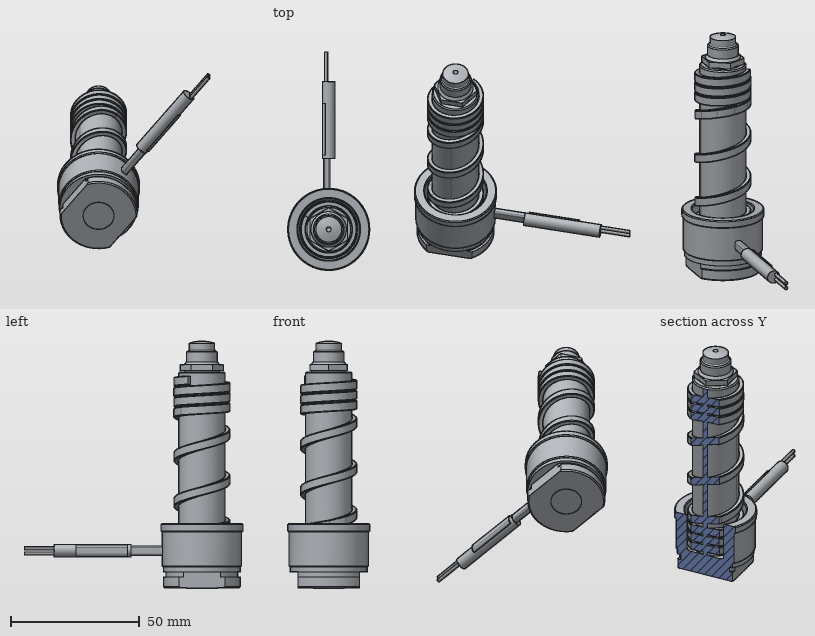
import cadquery as cq
import math


PAD_RADIUS = 6.0
PAD_HEIGHT = 0.2
FOOT_RADIUS = 15.0
FOOT_CHAMFER = 0.5
FOOT_TOP = 4.35
NECK_RADIUS = 14.0
FLANGE_BOTTOM = 6.4
FLATS_WIDTH = 24.0

BODY_BOTTOM = 8.4
BODY_RADIUS = 15.5
BODY_CHAMFER = 0.4
COLLAR_RADIUS = 16.0
COLLAR_BOTTOM = 22.0
COLLAR_CHAMFER = 0.4
CUP_TOP = 25.2
BORE_RADIUS = 12.0
BORE_CHAMFER = 0.4
BORE_FLOOR = 9.3
BORE_FLOOR_CHAMFER = 0.6

STEM_RADIUS = 9.05
STEM_TOP = 84.2
STEM_CHAMFER = 0.5
HEX_NECK_RADIUS = 6.8
HEX_BOTTOM = 84.7
HEX_TOP = 87.0
HEX_ACROSS_FLATS = 14.6
HEX_CORNER_RADIUS = 8.3
CONE_RADIUS = 6.9
NOSE_RADIUS = 6.0
NOSE_BOTTOM = 88.15
NOSE_TOP = 91.85
NOSE_CHAMFER = 0.5
TIP_RADIUS = 5.0
TIP_FILLET = 0.5
TIP_EDGE = 95.35
DOME_TOP = 96.23
DIMPLE_RADIUS = 1.0
DIMPLE_DEPTH = 1.0

SPRING_RADIUS = 10.95
SPRING_INNER_RADIUS = 8.95
STRIP_HEIGHT = 3.5
STRIP_CHAMFER = 0.3
CLOSED_PITCH = 3.93
OPEN_PITCH = 17.8
CLOSED_TURNS = 3.05
TRANSITION_TURNS = 0.31
TRANSITION_STEPS = 3
OPEN_TURNS = 2.2
SPRING_END_ANGLE = 150.0
SPRING_END_HEIGHT = 80.95

CABLE_HEIGHT = 14.65
CABLE_X = -0.7
CABLE_WIDTH = 2.5
CABLE_DEPTH = 3.8
CABLE_FILLET = 0.6
CABLE_START = 14.0
SLEEVE_RADIUS = 2.5
SLEEVE_START = 27.5
SLEEVE_LENGTH = 30.0
LABEL_OFFSET = 1.5
LABEL_LENGTH = 20.0
LABEL_DEPTH = 4.5
LABEL_FILLET = 0.9
LABEL_INNER_X = -1.3
LABEL_OUTER_X = -2.5
LEAD_RADIUS = 0.65
LEAD_SPACING = 2.0
LEAD_HEIGHT = 14.55
LEAD_X = -1.0
LEAD_END = 69.0


def disc(radius, bottom, top):
    return cq.Workplane("XY").workplane(offset=bottom).circle(radius).extrude(top - bottom)


def cone(bottom_radius, top_radius, bottom, top):
    base = cq.Vector(0, 0, bottom)
    return cq.Workplane(cq.Solid.makeCone(bottom_radius, top_radius, top - bottom, pnt=base))


def make_foot():
    plate = disc(FOOT_RADIUS, PAD_HEIGHT, FOOT_TOP).faces("<Z").edges().chamfer(FOOT_CHAMFER)
    neck = disc(NECK_RADIUS, FOOT_TOP, FLANGE_BOTTOM)
    flats = cq.Workplane("XY").box(
        FLATS_WIDTH, 2 * FOOT_RADIUS, FLANGE_BOTTOM, centered=(True, True, False)
    )
    pad = disc(PAD_RADIUS, 0, PAD_HEIGHT)
    return plate.union(neck).intersect(flats).union(pad)


def make_cup():
    flange = disc(FOOT_RADIUS, FLANGE_BOTTOM, BODY_BOTTOM)
    body = disc(BODY_RADIUS, BODY_BOTTOM, COLLAR_BOTTOM).faces("<Z").edges().chamfer(BODY_CHAMFER)
    collar = disc(COLLAR_RADIUS, COLLAR_BOTTOM, CUP_TOP).edges().chamfer(COLLAR_CHAMFER)
    bore = disc(BORE_RADIUS, BORE_FLOOR, CUP_TOP).faces("<Z").edges().chamfer(BORE_FLOOR_CHAMFER)
    bore_mouth = cone(BORE_RADIUS, BORE_RADIUS + BORE_CHAMFER, CUP_TOP - BORE_CHAMFER, CUP_TOP)
    return flange.union(body).union(collar).cut(bore).cut(bore_mouth)


def make_stem():
    shaft = disc(STEM_RADIUS, BORE_FLOOR, STEM_TOP).faces(">Z").edges().chamfer(STEM_CHAMFER)
    neck = disc(HEX_NECK_RADIUS, STEM_TOP, HEX_BOTTOM)
    return shaft.union(neck)


def make_hexagon():
    corner_diameter = HEX_ACROSS_FLATS / math.cos(math.pi / 6)
    prism = (
        cq.Workplane("XY")
        .workplane(offset=HEX_BOTTOM)
        .transformed(rotate=(0, 0, 90))
        .polygon(6, corner_diameter)
        .extrude(HEX_TOP - HEX_BOTTOM)
    )
    corner_cone = cone(HEX_CORNER_RADIUS + HEX_TOP - HEX_BOTTOM, HEX_CORNER_RADIUS, HEX_BOTTOM, HEX_TOP)
    return prism.intersect(corner_cone)


def make_nose():
    shoulder_radius = NOSE_RADIUS - NOSE_CHAMFER
    shoulder = NOSE_TOP + NOSE_CHAMFER
    tangent = TIP_FILLET * math.sqrt(0.5)
    dome_rise = DOME_TOP - TIP_EDGE
    dome_radius = (TIP_RADIUS**2 + dome_rise**2) / (2 * dome_rise)
    dome_middle = DOME_TOP - dome_radius + math.sqrt(dome_radius**2 - (TIP_RADIUS / 2) ** 2)
    outline = (
        cq.Workplane("XZ")
        .moveTo(0, HEX_TOP)
        .lineTo(CONE_RADIUS, HEX_TOP)
        .lineTo(NOSE_RADIUS, NOSE_BOTTOM)
        .lineTo(NOSE_RADIUS, NOSE_TOP)
        .lineTo(shoulder_radius, shoulder)
        .threePointArc(
            (TIP_RADIUS + TIP_FILLET - tangent, shoulder + TIP_FILLET - tangent),
            (TIP_RADIUS, shoulder + TIP_FILLET),
        )
        .lineTo(TIP_RADIUS, TIP_EDGE)
        .threePointArc((TIP_RADIUS / 2, dome_middle), (0, DOME_TOP))
        .close()
    )
    dimple = cone(0, DIMPLE_RADIUS, DOME_TOP - DIMPLE_DEPTH, DOME_TOP)
    return outline.revolve(360, (0, 0), (0, 1)).cut(dimple)


def make_coil(start_angle, start_height, pitch, turns):
    """Right-handed strip coil starting at the given angle and mid-strip height."""
    half_height = STRIP_HEIGHT / 2
    path = cq.Workplane(cq.Wire.makeHelix(pitch, pitch * turns, SPRING_RADIUS))
    coil = (
        cq.Workplane("XZ")
        .moveTo(SPRING_INNER_RADIUS + STRIP_CHAMFER, -half_height)
        .lineTo(SPRING_RADIUS - STRIP_CHAMFER, -half_height)
        .lineTo(SPRING_RADIUS, STRIP_CHAMFER - half_height)
        .lineTo(SPRING_RADIUS, half_height - STRIP_CHAMFER)
        .lineTo(SPRING_RADIUS - STRIP_CHAMFER, half_height)
        .lineTo(SPRING_INNER_RADIUS + STRIP_CHAMFER, half_height)
        .lineTo(SPRING_INNER_RADIUS, half_height - STRIP_CHAMFER)
        .lineTo(SPRING_INNER_RADIUS, STRIP_CHAMFER - half_height)
        .close()
        .sweep(path, isFrenet=True)
    )
    return coil.rotate((0, 0, 0), (0, 0, 1), start_angle).translate((0, 0, start_height))


def make_spring():
    """Coils from the top end down; the pitch changes in steps between closed and open turns."""
    step_turns = TRANSITION_TURNS / TRANSITION_STEPS
    step_pitch = (OPEN_PITCH - CLOSED_PITCH) / TRANSITION_STEPS
    closed = [(CLOSED_PITCH, CLOSED_TURNS)]
    opening = [(CLOSED_PITCH + (step + 0.5) * step_pitch, step_turns) for step in range(TRANSITION_STEPS)]
    sections_from_top = closed + opening + [(OPEN_PITCH, OPEN_TURNS)] + opening[::-1] + closed
    angle = SPRING_END_ANGLE
    height = SPRING_END_HEIGHT
    coils = []
    for pitch, turns in sections_from_top:
        angle -= 360 * turns
        height -= pitch * turns
        coils.append(make_coil(angle, height, pitch, turns))
    return coils


def make_cable():
    return (
        cq.Workplane("XY")
        .box(CABLE_WIDTH, SLEEVE_START - CABLE_START, CABLE_DEPTH)
        .edges("|Y")
        .fillet(CABLE_FILLET)
        .translate((CABLE_X, (CABLE_START + SLEEVE_START) / 2, CABLE_HEIGHT))
    )


def rod(x, z, radius, start, end):
    """Cylinder along +Y."""
    return cq.Workplane("XZ", origin=(x, start, z)).circle(radius).extrude(start - end)


def make_sleeve():
    sleeve = rod(0, CABLE_HEIGHT, SLEEVE_RADIUS, SLEEVE_START, SLEEVE_START + SLEEVE_LENGTH)
    label = (
        cq.Workplane("XY")
        .box(LABEL_INNER_X - LABEL_OUTER_X, LABEL_LENGTH, LABEL_DEPTH)
        .edges("|Y and <X")
        .fillet(LABEL_FILLET)
        .translate(
            (
                (LABEL_INNER_X + LABEL_OUTER_X) / 2,
                SLEEVE_START + LABEL_OFFSET + LABEL_LENGTH / 2,
                CABLE_HEIGHT,
            )
        )
    )
    return sleeve.union(label)


def make_leads():
    sleeve_end = SLEEVE_START + SLEEVE_LENGTH
    upper = rod(LEAD_X, LEAD_HEIGHT + LEAD_SPACING / 2, LEAD_RADIUS, sleeve_end, LEAD_END)
    lower = rod(LEAD_X, LEAD_HEIGHT - LEAD_SPACING / 2, LEAD_RADIUS, sleeve_end, LEAD_END)
    return upper.union(lower)


result = make_foot().union(make_cup()).union(make_stem())
for coil in make_spring():
    result = result.union(coil)
result = result.union(make_hexagon()).union(make_nose())
result = result.union(make_cable()).union(make_sleeve()).union(make_leads())